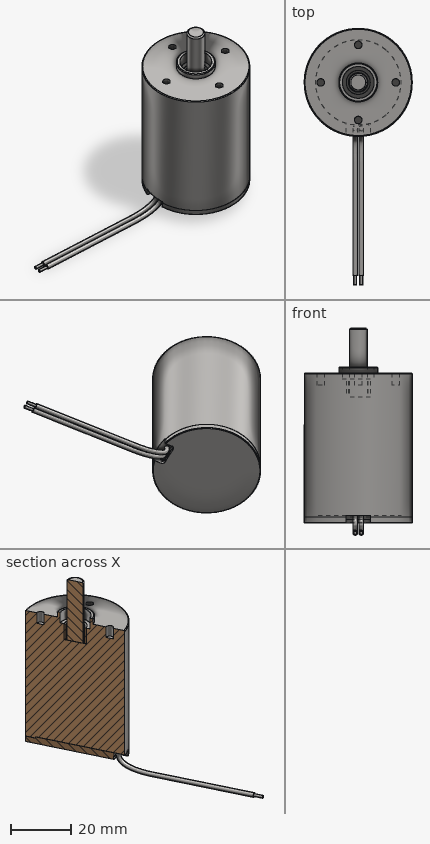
import cadquery as cq


housing_radius = 18.0
housing_top = 50.0
housing_chamfer = 0.3
boss_radius = 6.5
boss_height = 2.0
boss_chamfer = 0.3
boss_bore_radius = 5.3
boss_bore_depth = 4.0
boss_top = housing_top + boss_height
bore_floor = boss_top - boss_bore_depth

mount_hole_diameter = 2.5
mount_hole_depth = 4.0
mount_circle_radius = 12.5
mount_hole_count = 4

shaft_radius = 3.0
shaft_top = 65.0
shaft_chamfer = 0.5
bushing_radius = 4.0
bushing_bore_radius = 3.25
bushing_length = 6.0
bushing_bottom = bore_floor - bushing_length

cap_thickness = 2.0
cap_chamfer = 0.25
spigot_radius = 14.2

outlet_width = 8.0
outlet_top = 2.5
outlet_ledge_height = 1.2
outlet_back = 14.0
outlet_corner_radius = 1.0
outlet_inner_depth = spigot_radius / 2
rim_overrun = 1.0

wire_radius = 0.8
strand_radius = 0.5
wire_offset = 1.0
wire_exit_y = -15.3
bend_top = 1.75
bend_end_y = -27.4
bend_start_handle = 3.8
bend_end_handle = 5.8
insulation_end_y = -64.2
strand_end_y = -67.4
wire_lowest_z = -4.0
wire_run_z = wire_lowest_z + wire_radius


def cylinder(radius, bottom, top):
    return cq.Workplane("XY").workplane(offset=bottom).circle(radius).extrude(top - bottom)


def outlet_block(bottom, top, back):
    """Block across the cable outlet, from the given depth out past the rim."""
    length = housing_radius + rim_overrun - back
    return (
        cq.Workplane("XY")
        .workplane(offset=bottom)
        .center(0, -back - length / 2)
        .rect(outlet_width, length)
        .extrude(top - bottom)
    )


def make_housing():
    body = cylinder(housing_radius, cap_thickness, housing_top).faces(">Z").chamfer(housing_chamfer)
    boss = cylinder(boss_radius, housing_top, boss_top).faces(">Z").chamfer(boss_chamfer)
    body = body.union(boss)
    body = body.cut(cylinder(boss_bore_radius, bore_floor, boss_top))
    body = body.cut(cylinder(bushing_radius, bushing_bottom, bore_floor))

    mount_holes = (
        cq.Workplane("XY")
        .workplane(offset=housing_top - mount_hole_depth)
        .polarArray(mount_circle_radius, 0, 360, mount_hole_count)
        .circle(mount_hole_diameter / 2)
        .extrude(mount_hole_depth)
    )
    body = body.cut(mount_holes)

    body = body.cut(cylinder(spigot_radius, cap_thickness, outlet_top))
    return body.cut(outlet_block(cap_thickness, outlet_top, outlet_inner_depth))


def make_cap():
    disc = cylinder(housing_radius, 0, cap_thickness).faces("<Z").chamfer(cap_chamfer)
    spigot = cylinder(spigot_radius, outlet_ledge_height, outlet_top)
    notch = outlet_block(0, outlet_ledge_height, outlet_back).edges("|Z and >Y").fillet(outlet_corner_radius)
    outlet = outlet_block(outlet_ledge_height, cap_thickness, outlet_inner_depth)
    return disc.cut(notch).cut(outlet).union(spigot)


def make_bushing():
    return cylinder(bushing_radius, bushing_bottom, bore_floor).cut(
        cylinder(bushing_bore_radius, bushing_bottom, bore_floor)
    )


def make_shaft():
    return cylinder(shaft_radius, bushing_bottom, shaft_top).faces(">Z").chamfer(shaft_chamfer)


def along_y(radius, start_y, end_y):
    """Round bar on the straight run of a wire, laid toward -Y."""
    return (
        cq.Workplane("XZ", origin=(0, start_y, wire_run_z))
        .circle(radius)
        .extrude(start_y - end_y)
    )


def make_wire(x):
    """Insulated wire: short drop, smooth bend, straight run and bare strand end."""
    drop = cylinder(wire_radius, bend_top, outlet_top).translate((0, wire_exit_y, 0))
    bend_path = cq.Workplane("YZ").bezier(
        [
            (wire_exit_y, bend_top),
            (wire_exit_y, bend_top - bend_start_handle),
            (bend_end_y + bend_end_handle, wire_run_z),
            (bend_end_y, wire_run_z),
        ]
    )
    bend = (
        cq.Workplane("XY", origin=(0, wire_exit_y, bend_top))
        .circle(wire_radius)
        .sweep(bend_path)
    )
    run = along_y(wire_radius, bend_end_y, insulation_end_y)
    strand = along_y(strand_radius, insulation_end_y, strand_end_y)
    return drop.union(bend).union(run).union(strand).translate((x, 0, 0))


housing = make_housing()
cap = make_cap()
bushing = make_bushing()
shaft = make_shaft()
wires = [make_wire(side * wire_offset) for side in (-1, 1)]

result = cq.Compound.makeCompound(
    [housing.val(), cap.val(), bushing.val(), shaft.val()] + [wire.val() for wire in wires]
)